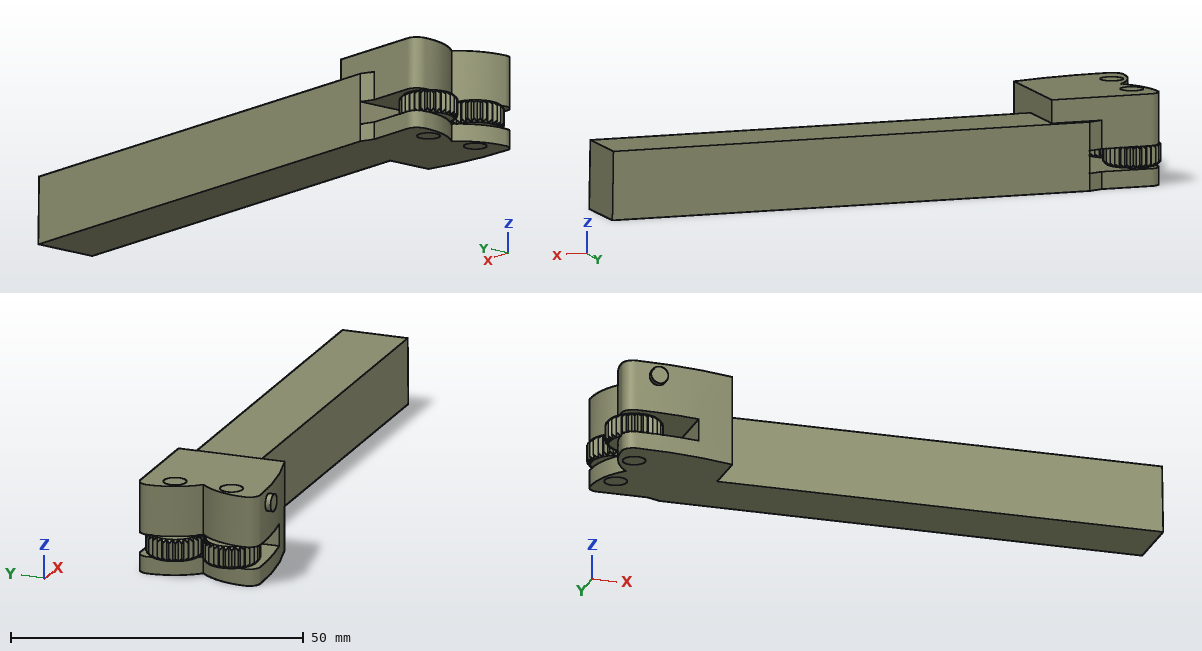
import cadquery as cq
import math

overall_length = 101.5
overall_width = 24.0

bar_size = 12.0
end_rake = 0.2
bevel_start_x = 12.5
bevel_end_x = 15.0

head_front_x = 1.5
head_length = 20.0
head_height = 16.0
head_back_y = -1.0
head_width = 22.0
corner_radius = 2.0
lobe_radius = 12.7
notch_depth = 3.6
lower_side_radius = 63.9

slot_floor_z = 3.0
slot_height = 4.0
slot_end_x = 15.0

stud_diameter = 3.0
stud_x = 7.4
stud_z = 13.5

wheel_diameter = 9.9
wheel_spacing = 10.4
axle_diameter = 4.0
tooth_count = 28
tooth_depth = 0.6
tooth_phase = 176.5
rim_chamfer_height = 0.6
rim_chamfer_depth = 0.6

centre_y = -bar_size
head_end_x = head_front_x + head_length
head_side_y = head_back_y - head_width
wheel_radius = wheel_diameter / 2
wheel_x = -wheel_radius * math.cos(math.radians(tooth_phase))
wheel_centres = [(wheel_x, centre_y + side * wheel_spacing / 2) for side in (1, -1)]


def arc_drop(radius, run):
    """Distance an arc falls from its tangent line after a given run along that line."""
    return radius - math.sqrt(radius**2 - run**2)


def make_bar():
    """Square bar with a raked end face and a bevelled back corner next to the head."""
    bar = (
        cq.Workplane("XZ")
        .moveTo(bevel_start_x, 0)
        .lineTo(overall_length, 0)
        .lineTo(overall_length - end_rake, bar_size)
        .lineTo(bevel_start_x, bar_size)
        .close()
        .extrude(bar_size)
    )
    bevel = (
        cq.Workplane("XY")
        .moveTo(bevel_start_x, 0)
        .lineTo(bevel_end_x, 0)
        .lineTo(bevel_start_x, head_back_y)
        .close()
        .extrude(bar_size)
    )
    return bar.cut(bevel)


def make_head():
    """Head block with two front lobes that meet in a notch, and a curved -Y side."""
    corner_mid = corner_radius * (1 - math.sqrt(0.5))
    inner_x = head_front_x + corner_radius
    back_lobe_y = head_back_y - corner_radius
    side_lobe_y = head_side_y + corner_radius

    notch_x = head_front_x + notch_depth

    side_length = head_end_x - inner_x
    side_mid = (inner_x + side_length / 2, head_side_y + arc_drop(lower_side_radius, side_length / 2))
    side_end = (head_end_x, head_side_y + arc_drop(lower_side_radius, side_length))

    return (
        cq.Workplane("XY")
        .moveTo(head_end_x, head_back_y)
        .lineTo(inner_x, head_back_y)
        .threePointArc((head_front_x + corner_mid, head_back_y - corner_mid), (head_front_x, back_lobe_y))
        .radiusArc((notch_x, centre_y), -lobe_radius)
        .radiusArc((head_front_x, side_lobe_y), -lobe_radius)
        .threePointArc((head_front_x + corner_mid, head_side_y + corner_mid), (inner_x, head_side_y))
        .threePointArc(side_mid, side_end)
        .close()
        .extrude(head_height)
    )


def make_slot():
    """Wheel slot, open at the front and on both sides of the head."""
    return cq.Workplane("XY").box(slot_end_x, overall_width, slot_height, centered=False).translate(
        (0, -overall_width, slot_floor_z)
    )


def make_stud():
    """Short round stud that stands out of the -Y side and is rooted inside the head."""
    return (
        cq.Workplane("XZ", origin=(stud_x, centre_y, stud_z))
        .circle(stud_diameter / 2)
        .extrude(overall_width + centre_y)
    )


def make_axle(centre):
    """Axle cylinder through the full height of the head, also used to cut its bore."""
    return cq.Workplane("XY").center(*centre).circle(axle_diameter / 2).extrude(head_height)


def make_holder():
    """Bar, head and stud in one piece, slotted for the wheels and bored for their axles."""
    holder = make_bar().union(make_head()).union(make_stud()).cut(make_slot())
    for centre in wheel_centres:
        holder = holder.cut(make_axle(centre))
    return holder


def make_wheel(centre):
    """Wheel with V-shaped teeth, chamfered rims and a plain axle."""
    outline = []
    for i in range(2 * tooth_count):
        radius = wheel_radius - tooth_depth * (i % 2)
        angle = math.radians(tooth_phase + i * 180 / tooth_count)
        outline.append((radius * math.cos(angle), radius * math.sin(angle)))
    toothed_disc = cq.Workplane("XY").polyline(outline).close().extrude(slot_height)

    rim_radius = wheel_radius - rim_chamfer_depth
    chamfered_blank = (
        cq.Workplane("XZ")
        .lineTo(rim_radius, 0)
        .lineTo(wheel_radius, rim_chamfer_height)
        .lineTo(wheel_radius, slot_height - rim_chamfer_height)
        .lineTo(rim_radius, slot_height)
        .lineTo(0, slot_height)
        .close()
        .revolve(360, (0, 0, 0), (0, 1, 0))
    )
    wheel = toothed_disc.intersect(chamfered_blank).translate((*centre, slot_floor_z))
    return wheel.union(make_axle(centre))


holder = make_holder()
wheels = [make_wheel(centre) for centre in wheel_centres]

result = cq.Compound.makeCompound([body.solids().val() for body in (holder, *wheels)])